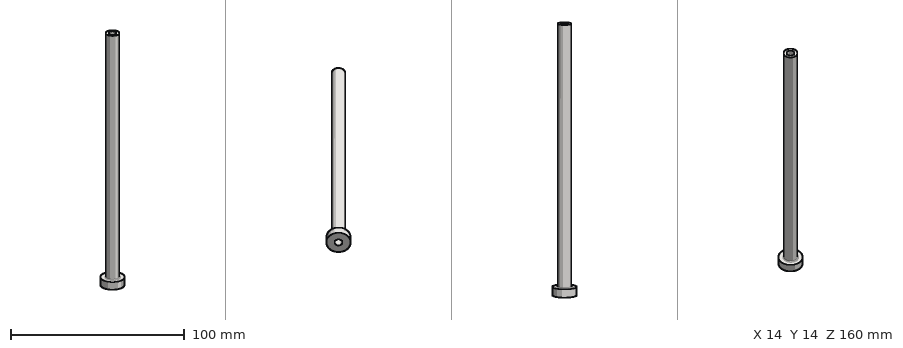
import cadquery as cq

total_length = 160.0
head_diameter = 14.0
head_height = 5.0
shaft_diameter = 8.0
bore_diameter = 4.5
neck_fillet = 0.5

head = cq.Workplane("XY").circle(head_diameter / 2).extrude(head_height)
sleeve = head.faces(">Z").workplane().circle(shaft_diameter / 2).extrude(total_length - head_height)

neck_edge = cq.selectors.RadiusNthSelector(0)
sleeve = sleeve.faces("<Z[1]").edges(neck_edge).fillet(neck_fillet)

bore = cq.Workplane("XY").circle(bore_diameter / 2).extrude(total_length)
result = sleeve.cut(bore)